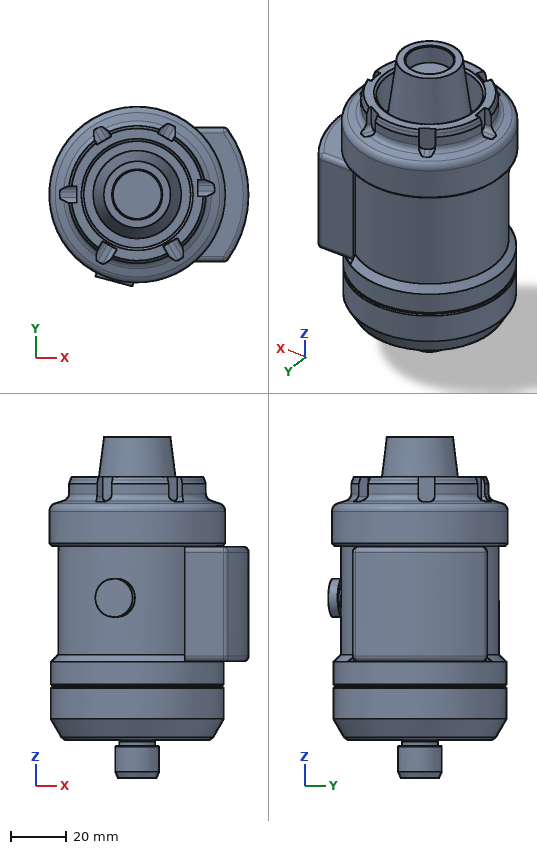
import cadquery as cq
import math

TOTAL_HEIGHT = 124.0
RING_TOP = 109.5
RING_BEVEL_MID = 108.4
RING_BEVEL_END = 106.9
NECK_START = 103.4
COLLAR_BOTTOM = 84.3
WELL_FLOOR = 93.4
SHOULDER_TOP = 44.9
SHOULDER_BOTTOM = 42.2
GROOVE_CENTER = 33.4
TAPER_TOP = 21.5
TAPER_BOTTOM = 14.8
BASE_BOTTOM = 13.8
PIN_TOP = 11.7

COLLAR_RADIUS = 32.0
COLLAR_ROUND = 3.0
COLLAR_CHAMFER = 1.0
NECK_ROUND = 2.7
COLLAR_SLOPE = math.radians(18.0)
RING_RADIUS = 25.0
RING_MID_RADIUS = 24.5
RING_TOP_RADIUS = 24.0
WELL_RADIUS = 19.4
WELL_CHAMFER = 0.9
BODY_RADIUS = 28.75
BASE_RADIUS = 31.5
GROOVE_DEPTH = 0.5
GROOVE_FLOOR_WIDTH = 0.5
TAPER_RADIUS = 27.6
BASE_END_RADIUS = 26.2
PIN_NECK_RADIUS = 6.6
PIN_NECK_CHAMFER = 0.5
PIN_RADIUS = 8.0
PIN_LIP_CHAMFER = 0.3
PIN_TIP_RADIUS = 7.0
PIN_TIP_HEIGHT = 2.3

CONE_BASE_RADIUS = 16.0
CONE_TOP_RADIUS = 12.1
BORE_RADIUS = 8.8
BORE_DEPTH = 7.3
BORE_CHAMFER = 0.4

NOTCH_COUNT = 6
NOTCH_WIDTH = 6.0
NOTCH_FLOOR = 100.4
NOTCH_ROUND = 2.0
NOTCH_BACK_DISTANCE = 22.0
NOTCH_PATTERN_OFFSET_Y = 1.2
NOTCH_SIDE_OFFSET = 1.15

PAD_RADIUS = 40.5
PAD_HALF_WIDTH = 24.4
PAD_INNER_X = 17.2
PAD_TOP = 84.1
PAD_BOTTOM = 42.4
PAD_FILLET = 2.0

BUTTON_RADIUS = 7.0
BUTTON_FACE_DISTANCE = 32.68
BUTTON_HEIGHT = 65.5
BUTTON_TURN = 15.0
BUTTON_THICKNESS = 3.5
BUTTON_STEM_RADIUS = 5.0
BUTTON_STEM_LENGTH = 4.0


def point_at(center, radius, angle):
    """Point of the half profile on a circle, with the angle counted from the outward direction."""
    return (center[0] + radius * math.cos(angle), center[1] + radius * math.sin(angle))


def make_turned_body():
    """Revolved housing, from the pin tip up to the rim of the open ring and the cone."""
    neck_center = (RING_RADIUS + NECK_ROUND, NECK_START)
    neck_mid = point_at(neck_center, NECK_ROUND, math.pi + (math.pi / 2 - COLLAR_SLOPE) / 2)
    neck_end = point_at(neck_center, NECK_ROUND, 3 * math.pi / 2 - COLLAR_SLOPE)
    round_start = math.pi / 2 - COLLAR_SLOPE
    collar_center_radius = COLLAR_RADIUS - COLLAR_ROUND
    slope_end_radius = collar_center_radius + COLLAR_ROUND * math.cos(round_start)
    slope_end_height = neck_end[1] - (slope_end_radius - neck_end[0]) * math.tan(COLLAR_SLOPE)
    collar_center = (collar_center_radius, slope_end_height - COLLAR_ROUND * math.sin(round_start))
    collar_mid = point_at(collar_center, COLLAR_ROUND, round_start / 2)
    groove_half_floor = GROOVE_FLOOR_WIDTH / 2
    groove_half_mouth = groove_half_floor + GROOVE_DEPTH
    groove_radius = BASE_RADIUS - GROOVE_DEPTH
    profile = (
        cq.Workplane("XZ")
        .moveTo(0, 0)
        .lineTo(PIN_TIP_RADIUS, 0)
        .lineTo(PIN_RADIUS, PIN_TIP_HEIGHT)
        .lineTo(PIN_RADIUS, PIN_TOP - PIN_LIP_CHAMFER)
        .lineTo(PIN_RADIUS - PIN_LIP_CHAMFER, PIN_TOP)
        .lineTo(PIN_NECK_RADIUS, PIN_TOP)
        .lineTo(PIN_NECK_RADIUS, BASE_BOTTOM - PIN_NECK_CHAMFER)
        .lineTo(PIN_NECK_RADIUS - PIN_NECK_CHAMFER, BASE_BOTTOM)
        .lineTo(BASE_END_RADIUS, BASE_BOTTOM)
        .lineTo(TAPER_RADIUS, TAPER_BOTTOM)
        .lineTo(BASE_RADIUS, TAPER_TOP)
        .lineTo(BASE_RADIUS, GROOVE_CENTER - groove_half_mouth)
        .lineTo(groove_radius, GROOVE_CENTER - groove_half_floor)
        .lineTo(groove_radius, GROOVE_CENTER + groove_half_floor)
        .lineTo(BASE_RADIUS, GROOVE_CENTER + groove_half_mouth)
        .lineTo(BASE_RADIUS, SHOULDER_BOTTOM)
        .lineTo(BODY_RADIUS, SHOULDER_TOP)
        .lineTo(BODY_RADIUS, COLLAR_BOTTOM)
        .lineTo(COLLAR_RADIUS - COLLAR_CHAMFER, COLLAR_BOTTOM)
        .lineTo(COLLAR_RADIUS, COLLAR_BOTTOM + COLLAR_CHAMFER)
        .lineTo(COLLAR_RADIUS, collar_center[1])
        .threePointArc(collar_mid, (slope_end_radius, slope_end_height))
        .lineTo(*neck_end)
        .threePointArc(neck_mid, (RING_RADIUS, NECK_START))
        .lineTo(RING_RADIUS, RING_BEVEL_END)
        .lineTo(RING_MID_RADIUS, RING_BEVEL_MID)
        .lineTo(RING_TOP_RADIUS, RING_TOP)
        .lineTo(WELL_RADIUS + WELL_CHAMFER, RING_TOP)
        .lineTo(WELL_RADIUS, RING_TOP - WELL_CHAMFER)
        .lineTo(WELL_RADIUS, WELL_FLOOR)
        .lineTo(CONE_BASE_RADIUS, WELL_FLOOR)
        .lineTo(CONE_TOP_RADIUS, TOTAL_HEIGHT)
        .lineTo(BORE_RADIUS + BORE_CHAMFER, TOTAL_HEIGHT)
        .lineTo(BORE_RADIUS, TOTAL_HEIGHT - BORE_CHAMFER)
        .lineTo(BORE_RADIUS, TOTAL_HEIGHT - BORE_DEPTH)
        .lineTo(0, TOTAL_HEIGHT - BORE_DEPTH)
        .close()
    )
    return profile.revolve(360, (0, 0, 0), (0, 1, 0))


def make_pad():
    """Side block whose outer face is concentric with the housing, rounded on its outer edges."""
    corner_x = math.sqrt(PAD_RADIUS**2 - PAD_HALF_WIDTH**2)
    return (
        cq.Workplane("XY", origin=(0, 0, PAD_BOTTOM))
        .moveTo(PAD_INNER_X, -PAD_HALF_WIDTH)
        .lineTo(corner_x, -PAD_HALF_WIDTH)
        .threePointArc((PAD_RADIUS, 0), (corner_x, PAD_HALF_WIDTH))
        .lineTo(PAD_INNER_X, PAD_HALF_WIDTH)
        .close()
        .extrude(PAD_TOP - PAD_BOTTOM)
        .edges("not <X")
        .fillet(PAD_FILLET)
    )


def make_pad_seat():
    """Cutter that clears the sloping shoulder around the lower end of the pad."""
    depth = BASE_RADIUS - PAD_INNER_X
    height = SHOULDER_TOP - PAD_BOTTOM
    return (
        cq.Workplane("XY", origin=(PAD_INNER_X, 0, PAD_BOTTOM))
        .box(depth, 2 * BASE_RADIUS, height, centered=(False, True, False))
    )


def make_button():
    """Round disc on a narrower stem rooted in the housing wall, turned from -Y toward -X."""
    back_distance = BUTTON_FACE_DISTANCE - BUTTON_THICKNESS
    back_plane = cq.Workplane("XZ", origin=(0, -back_distance, BUTTON_HEIGHT))
    disc = back_plane.circle(BUTTON_RADIUS).extrude(BUTTON_THICKNESS)
    stem = back_plane.circle(BUTTON_STEM_RADIUS).extrude(-BUTTON_STEM_LENGTH)
    return disc.union(stem).rotate((0, 0, 0), (0, 0, 1), -BUTTON_TURN)


def make_notch(angle):
    """Cutter for one round-bottomed notch, open upward and outward."""
    length = COLLAR_RADIUS - NOTCH_BACK_DISTANCE
    height = TOTAL_HEIGHT - NOTCH_FLOOR
    return (
        cq.Workplane("XY")
        .box(length, NOTCH_WIDTH, height, centered=(False, True, False))
        .edges("|X and <Z")
        .fillet(NOTCH_ROUND)
        .translate((NOTCH_BACK_DISTANCE, NOTCH_SIDE_OFFSET, NOTCH_FLOOR))
        .rotate((0, 0, 0), (0, 0, 1), angle)
        .translate((0, NOTCH_PATTERN_OFFSET_Y, 0))
    )


result = make_turned_body().cut(make_pad_seat()).union(make_pad()).union(make_button())
for index in range(NOTCH_COUNT):
    result = result.cut(make_notch(index * 360 / NOTCH_COUNT))